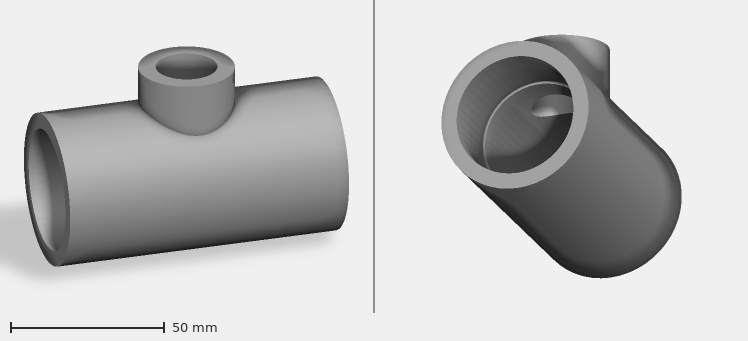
import cadquery as cq

run_length = 95.0
run_outer_diameter = 50.5
run_socket_diameter = 40.1
run_stop_diameter = 38.4
run_socket_depth = 26.4

branch_height = 37.5
branch_outer_diameter = 31.5
branch_socket_diameter = 20.1
branch_stop_diameter = 19.6
branch_socket_depth = 16.0


def run_cylinder(diameter, length):
    """Cylinder along Y, centred on the origin."""
    return cq.Workplane("XZ").circle(diameter / 2).extrude(length / 2, both=True)


def branch_cylinder(diameter, bottom=0.0):
    """Cylinder along Z, from the given height up to the branch mouth."""
    plane = cq.Workplane("XY").workplane(offset=bottom)
    return plane.circle(diameter / 2).extrude(branch_height - bottom)


body = run_cylinder(run_outer_diameter, run_length).union(branch_cylinder(branch_outer_diameter))

stop_length = run_length - 2 * run_socket_depth
stop_ring = run_cylinder(run_socket_diameter, stop_length).cut(
    run_cylinder(run_stop_diameter, stop_length)
)
run_bore = run_cylinder(run_socket_diameter, run_length).cut(stop_ring)

branch_bore = branch_cylinder(branch_stop_diameter).union(
    branch_cylinder(branch_socket_diameter, branch_height - branch_socket_depth)
)

result = body.cut(run_bore).cut(branch_bore)